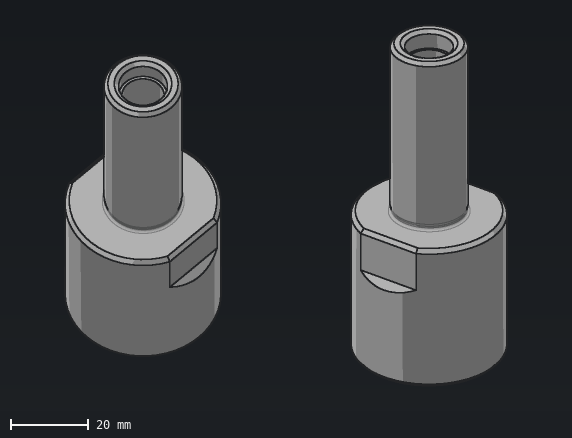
import cadquery as cq

total_height = 91.0
body_height = 41.0
body_radius = 40.0 / 2
body_chamfer = 1.1

shaft_radius = 20.0 / 2
groove_radius = 19.6 / 2
tip_chamfer = 1.0
root_fillet = 0.7
groove_land = 0.5
groove_taper_height = 0.7

across_flats = 36.0
flat_height = 12.0

bore_diameter = 10.9
counterbore_radius = 12.5 / 2
counterbore_depth = 5.2
mouth_radius = 14.7 / 2
mouth_depth = 0.9


def make_body():
    """Cylinder with two wrench flats and chamfered ends."""
    body = cq.Workplane("XY").circle(body_radius).extrude(body_height)
    flat_x = across_flats / 2
    flat_bottom = body_height - flat_height
    flat_cut_depth = body_radius - flat_x
    flat_cutter = (
        cq.Workplane("XZ")
        .moveTo(flat_x, body_height)
        .lineTo(flat_x, flat_bottom)
        .lineTo(body_radius, flat_bottom - flat_cut_depth)
        .lineTo(body_radius, body_height)
        .close()
        .extrude(body_radius, both=True)
    )
    body = body.cut(flat_cutter).cut(flat_cutter.mirror("YZ"))
    return body.faces("<Z or >Z").chamfer(body_chamfer)


def make_shaft():
    """Revolved shaft with a filleted root, relief groove and chamfered tip."""
    fillet_top = body_height + root_fillet
    taper_bottom = fillet_top + groove_land
    root_radius = groove_radius + root_fillet
    arc_inset = root_fillet * (1 - 0.5**0.5)
    return (
        cq.Workplane("XZ")
        .moveTo(0, 0)
        .lineTo(groove_radius, 0)
        .lineTo(groove_radius, body_height)
        .lineTo(root_radius, body_height)
        .threePointArc(
            (groove_radius + arc_inset, body_height + arc_inset),
            (groove_radius, fillet_top),
        )
        .lineTo(groove_radius, taper_bottom)
        .lineTo(shaft_radius, taper_bottom + groove_taper_height)
        .lineTo(shaft_radius, total_height - tip_chamfer)
        .lineTo(shaft_radius - tip_chamfer, total_height)
        .lineTo(0, total_height)
        .close()
        .revolve(360, (0, 0), (0, 1))
    )


def make_bore():
    """Through bore, counterbore and tapered mouth as one revolved cutter."""
    bore_radius = bore_diameter / 2
    counterbore_floor = total_height - counterbore_depth
    return (
        cq.Workplane("XZ")
        .moveTo(0, 0)
        .lineTo(bore_radius, 0)
        .lineTo(bore_radius, counterbore_floor)
        .lineTo(counterbore_radius, counterbore_floor)
        .lineTo(counterbore_radius, total_height - mouth_depth)
        .lineTo(mouth_radius, total_height)
        .lineTo(0, total_height)
        .close()
        .revolve(360, (0, 0), (0, 1))
    )


result = make_body().union(make_shaft()).cut(make_bore())